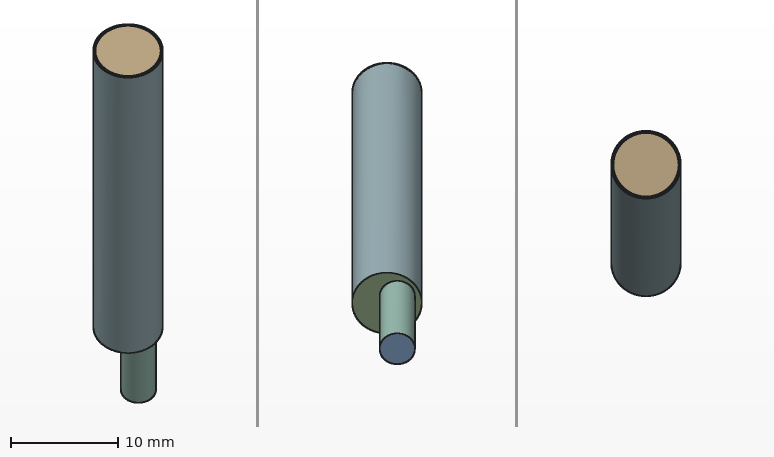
import cadquery as cq

body_diameter = 6.5
body_length = 40.0
body_radius = body_diameter / 2

stem_diameter = 3.3
stem_length = 10.0
stem_offset_y = 1.2

rim_width = 0.1
groove_width = 0.12
groove_depth = groove_width / 2


def make_body():
    return cq.Workplane("XY").circle(body_radius).extrude(body_length)


def make_stem():
    return (
        cq.Workplane("XY")
        .center(0, stem_offset_y)
        .circle(stem_diameter / 2)
        .extrude(-stem_length)
    )


def make_groove_cutter():
    """Triangular ring whose flat side lies in the top face."""
    outer_radius = body_radius - rim_width
    inner_radius = outer_radius - groove_width
    bottom_radius = (outer_radius + inner_radius) / 2
    profile = [
        (inner_radius, body_length),
        (outer_radius, body_length),
        (bottom_radius, body_length - groove_depth),
    ]
    return (
        cq.Workplane("XZ")
        .polyline(profile)
        .close()
        .revolve(360, (0, 0, 0), (0, 1, 0))
    )


result = make_body().union(make_stem()).cut(make_groove_cutter())